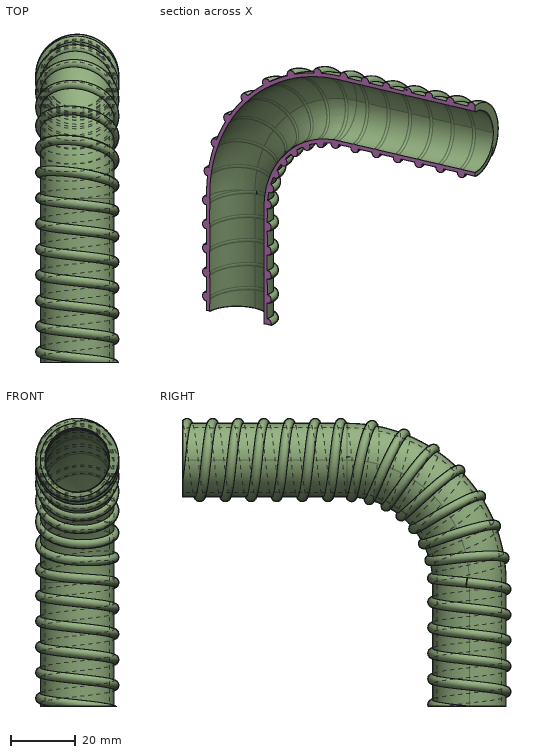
import cadquery as cq
import math

outer_radius = 11.5
bore_radius = 10.1

bend_arc_length = 60.0
bend_radius = bend_arc_length / (math.pi / 2)
overall_y = 102.49
overall_z = 89.89

wire_radius = 1.5
coil_pitch = 8.0
coil_radius = outer_radius
coil_phase = 0.6
wire_overrun = coil_pitch / 2
joint_gap = 0.01
points_per_turn = 24
path_tolerance = 0.0001

coil_outer_radius = coil_radius + wire_radius
vertical_leg = overall_z - bend_radius - coil_outer_radius
horizontal_leg = overall_y - bend_radius - coil_outer_radius
axis_z = vertical_leg + bend_radius
end_y = -(bend_radius + horizontal_leg)
trim_size = 4 * coil_outer_radius
bend_end = vertical_leg + bend_arc_length
centreline_length = bend_end + horizontal_leg


def coil_angle(distance):
    """Winding angle at a distance along the centreline, zero on the inside of the bend."""
    return 2 * math.pi * (distance - coil_phase) / coil_pitch


def coil_point(distance):
    """Point on the left-handed coil around the bend, at a distance along the centreline."""
    bend_angle = (distance - vertical_leg) / bend_radius
    around = coil_angle(distance)
    arm = bend_radius - coil_radius * math.cos(around)
    x = -coil_radius * math.sin(around)
    y = arm * math.cos(bend_angle) - bend_radius
    z = arm * math.sin(bend_angle) + vertical_leg
    return cq.Vector(x, y, z)


def make_tube(radius):
    """Round bar of the given radius along the whole centreline."""
    vertical = cq.Workplane("XY").circle(radius).extrude(vertical_leg)
    bend = (
        cq.Workplane("XY", origin=(0, 0, vertical_leg))
        .circle(radius)
        .revolve(90, (0, -bend_radius), (1, -bend_radius))
    )
    horizontal = (
        cq.Workplane("XZ", origin=(0, -bend_radius, axis_z))
        .circle(radius)
        .extrude(horizontal_leg)
    )
    return vertical.union(bend).union(horizontal)


def make_straight_coil(start, end):
    """Upright helical wire, starting at height zero, wound as it is between two centreline distances."""
    helix = cq.Wire.makeHelix(coil_pitch, end - start, coil_radius, lefthand=True)
    profile_plane = cq.Plane(origin=helix.startPoint(), xDir=(1, 0, 0), normal=helix.tangentAt(0))
    coil = cq.Workplane(profile_plane).circle(wire_radius).sweep(cq.Workplane(helix), isFrenet=True)
    start_angle = -90 - math.degrees(coil_angle(start))
    return coil.rotate((0, 0, 0), (0, 0, 1), start_angle)


def make_vertical_coil():
    """Coil on the vertical leg, cut flush with the bottom end."""
    start = -wire_overrun
    coil = make_straight_coil(start, vertical_leg - joint_gap).translate((0, 0, start))
    below = cq.Workplane("XY").rect(trim_size, trim_size).extrude(-trim_size)
    return coil.cut(below)


def make_bend_coil():
    """Coil around the quarter bend."""
    spans = math.ceil(bend_arc_length / coil_pitch * points_per_turn)
    points = [coil_point(vertical_leg + bend_arc_length * i / spans) for i in range(spans + 1)]
    path = cq.Edge.makeSplineApprox(points, tol=path_tolerance, minDeg=3, maxDeg=8)
    away_from_axis = points[0] - cq.Vector(0, 0, vertical_leg)
    profile_plane = cq.Plane(origin=points[0], xDir=away_from_axis, normal=path.tangentAt(0))
    spine = cq.Workplane(cq.Wire.assembleEdges([path]))
    return cq.Workplane(profile_plane).circle(wire_radius).sweep(spine, isFrenet=True)


def make_horizontal_coil():
    """Coil on the horizontal leg, cut flush with the open end."""
    upright = make_straight_coil(bend_end + joint_gap, centreline_length + wire_overrun)
    turned = upright.rotate((0, 0, 0), (1, 0, 0), 90)
    coil = turned.translate((0, -bend_radius - joint_gap, axis_z))
    beyond = cq.Workplane("XZ", origin=(0, end_y, axis_z)).rect(trim_size, trim_size).extrude(trim_size)
    return coil.cut(beyond)


wall = make_tube(outer_radius).cut(make_tube(bore_radius))
coils = [make_vertical_coil(), make_horizontal_coil(), make_bend_coil()]
fused = wall.val().fuse(*[coil.val() for coil in coils])
result = cq.Workplane(fused.Solids()[0]).clean()